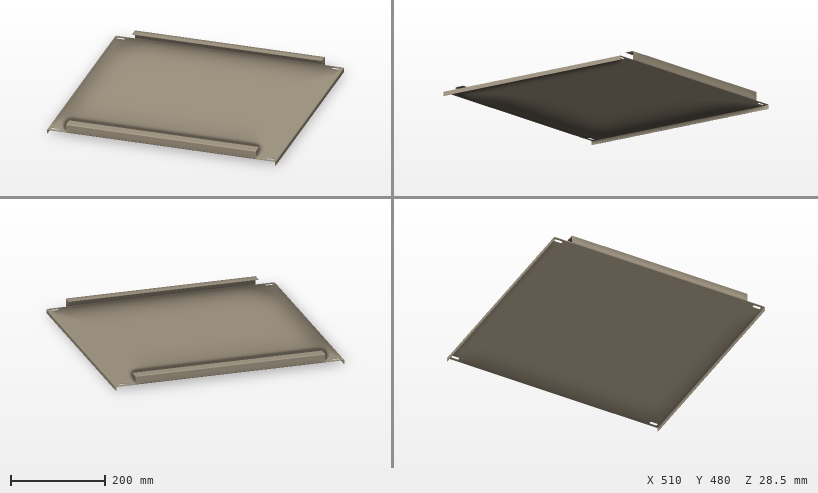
import cadquery as cq

length = 510.0
width = 480.0
sheet = 1.0
bend_inner = 1.0
bend_outer = bend_inner + sheet

skirt_height = 9.5
plate_width = 477.0

rail_length = 423.5
rail_height = 20.0
lip_depth = 21.0

slot_length = 19.0
slot_width = 7.0
slot_x = 239.5
slot_y = 229.5

plate_bottom = skirt_height - sheet
rail_top = plate_bottom + rail_height


def make_panel():
    """Plate with its two downward side skirts, bent at the top corners."""
    outer = (
        cq.Workplane("XY")
        .box(length, plate_width, skirt_height, centered=(True, True, False))
        .edges("|Y and >Z")
        .fillet(bend_outer)
    )
    inner = (
        cq.Workplane("XY")
        .box(length - 2 * sheet, plate_width, plate_bottom, centered=(True, True, False))
        .edges("|Y and >Z")
        .fillet(bend_inner)
    )
    return outer.cut(inner)


def make_rails():
    """Front and back C-shaped rails, joined by the middle of the plate."""
    outer = (
        cq.Workplane("XY", origin=(0, 0, plate_bottom))
        .box(rail_length, width, rail_height, centered=(True, True, False))
        .edges("|X")
        .fillet(bend_outer)
    )
    inner = (
        cq.Workplane("XY", origin=(0, 0, skirt_height))
        .box(rail_length, width - 2 * sheet, rail_height - 2 * sheet, centered=(True, True, False))
        .edges("|X")
        .fillet(bend_inner)
    )
    lip_gap = (
        cq.Workplane("XY", origin=(0, 0, rail_top - sheet))
        .box(rail_length, width - 2 * lip_depth, sheet, centered=(True, True, False))
    )
    return outer.cut(inner).cut(lip_gap)


def make_bend_clearance():
    """Plate edge strips removed beneath the rounded lower bends of the rails."""
    strip_width = plate_width / 2 - (width / 2 - bend_outer)
    strip_center = (plate_width - strip_width) / 2
    return (
        cq.Workplane("XY", origin=(0, 0, plate_bottom))
        .pushPoints([(0, -strip_center), (0, strip_center)])
        .box(rail_length, strip_width, sheet, centered=(True, True, False))
    )


def make_corner_slots():
    """Round-ended through slots at the four plate corners."""
    return (
        cq.Workplane("XY", origin=(0, 0, plate_bottom))
        .rect(2 * slot_x, 2 * slot_y, forConstruction=True)
        .vertices()
        .slot2D(slot_length, slot_width)
        .extrude(sheet)
    )


panel = make_panel().cut(make_bend_clearance())
result = panel.union(make_rails()).cut(make_corner_slots())